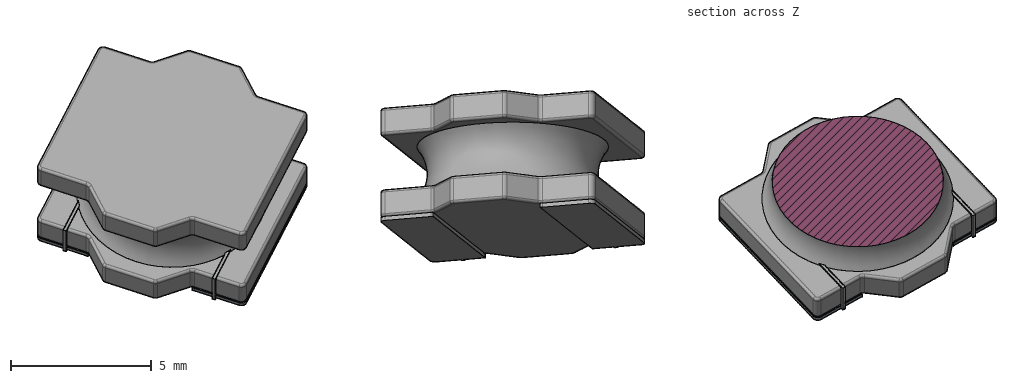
import cadquery as cq

LENGTH = 8.0
TAB_SPAN = 8.0
BODY_DEPTH = 6.0
TERMINAL_THICKNESS = 0.15
FLANGE_THICKNESS = 1.0
CORE_HEIGHT = 2.0

TAB_TIP_WIDTH = 2.0
TAB_BASE_WIDTH = 4.0
CORNER_RADIUS = 0.2
EDGE_RADIUS = 0.1

CORE_END_RADIUS = 3.4
CORE_WAIST_RADIUS = 3.04

WIRE_OFFSET = 2.86
WIRE_WIDTH = 0.12
WIRE_SIDE_HEIGHT = 0.1
WIRE_TOP_HEIGHT = 0.05
WIRE_INNER_END = 1.5

LOWER_FLANGE_BOTTOM = TERMINAL_THICKNESS
CORE_BOTTOM = LOWER_FLANGE_BOTTOM + FLANGE_THICKNESS
CORE_TOP = CORE_BOTTOM + CORE_HEIGHT
WIRE_TOP = CORE_BOTTOM + WIRE_TOP_HEIGHT


def plate(bottom, thickness):
    """Rectangle with a tapered tab on the front and back, vertical edges rounded."""
    half_length = LENGTH / 2
    half_depth = BODY_DEPTH / 2
    half_base = TAB_BASE_WIDTH / 2
    half_tip = TAB_TIP_WIDTH / 2
    tab_reach = TAB_SPAN / 2
    back_edge = [
        (half_length, half_depth),
        (half_base, half_depth),
        (half_tip, tab_reach),
        (-half_tip, tab_reach),
        (-half_base, half_depth),
        (-half_length, half_depth),
    ]
    front_edge = [(-x, -y) for x, y in back_edge]
    return (
        cq.Workplane("XY", origin=(0, 0, bottom))
        .polyline(back_edge + front_edge)
        .close()
        .extrude(thickness)
        .edges("|Z")
        .fillet(CORNER_RADIUS)
    )


def flange(bottom):
    """Plate with rounded top and bottom rims."""
    return plate(bottom, FLANGE_THICKNESS).faces("<Z or >Z").edges().fillet(EDGE_RADIUS)


def core():
    """Spool with an arc-shaped waist between the flanges."""
    middle = (CORE_BOTTOM + CORE_TOP) / 2
    return (
        cq.Workplane("XZ")
        .moveTo(0, CORE_BOTTOM)
        .lineTo(CORE_END_RADIUS, CORE_BOTTOM)
        .threePointArc((CORE_WAIST_RADIUS, middle), (CORE_END_RADIUS, CORE_TOP))
        .lineTo(0, CORE_TOP)
        .close()
        .revolve(360, (0, 0, 0), (0, 1, 0))
    )


def terminals():
    """Two pads under the lower flange, sharing its outline outside the tabs."""
    tab_gap = cq.Workplane("XY").box(
        TAB_BASE_WIDTH, TAB_SPAN, TERMINAL_THICKNESS, centered=(True, True, False)
    )
    return plate(0, TERMINAL_THICKNESS).cut(tab_gap)


def wire_end(x):
    """Flat wire from the core, across the lower flange and down to the pad."""
    outer_end = BODY_DEPTH / 2 + WIRE_SIDE_HEIGHT
    return cq.Workplane("XY", origin=(x, -outer_end, 0)).box(
        WIRE_WIDTH, outer_end - WIRE_INNER_END, WIRE_TOP, centered=(True, False, False)
    )


result = core()
result = result.union(flange(LOWER_FLANGE_BOTTOM))
result = result.union(flange(CORE_TOP))
result = result.union(terminals())
for side in (-1, 1):
    result = result.union(wire_end(side * WIRE_OFFSET))